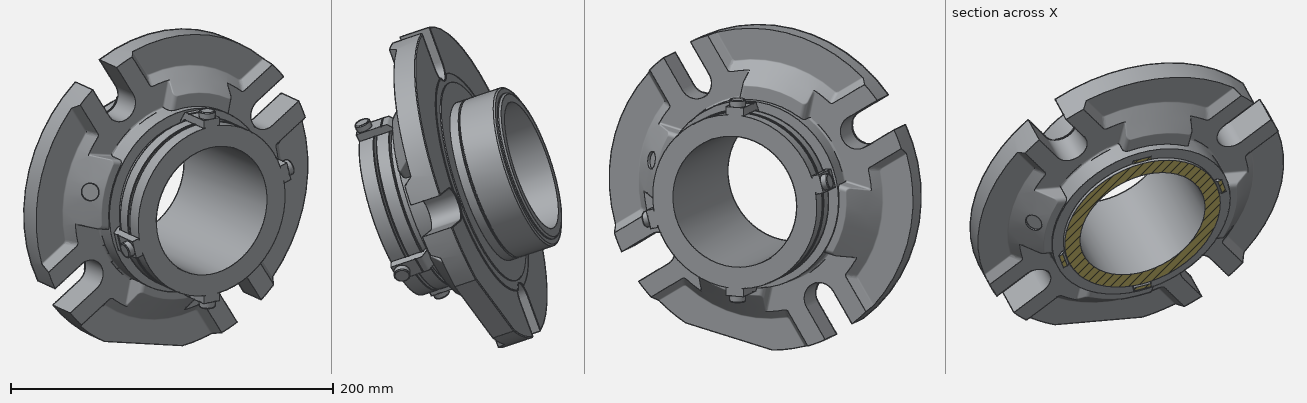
import cadquery as cq
import math


length = 92.6
nose_end = 2.0
sleeve_groove_start = 25.5
sleeve_groove_end = 26.8
seat_face = 32.5
ring_face = 33.2
flange_face = 33.8
flange_back = 48.5
pad_back = 54.0
hub_end = 66.9
collar_start = 72.1
collar_groove_start = 81.0
collar_groove_end = 82.7

bore_diameter = 82.5
nose_diameter = 95.3
sleeve_diameter = 103.4
groove_diameter = 100.1
seat_diameter = 129.5
ring_diameter = 141.9
flange_diameter = 202.7
hub_diameter = 118.0
collar_diameter = 109.5

nose_chamfer = 1.2
sleeve_chamfer = 1.0
ring_chamfer = 0.5
collar_chamfer = 0.5
flange_chamfer = 0.6

quarter_turn = 90.0
first_slot_angle = 32.3
slot_angles = [first_slot_angle + index * quarter_turn for index in range(4)]
slot_width = 21.0
slot_center_radius = 77.6
slot_chamfer = 0.5
pad_base_width = 54.0
pad_top_width = 45.8
pocket_corner_radius = 3.0
pocket_floor_radius = 1.2
pocket_edge_limit = 95.3
tolerance = 0.02

lobe_angles = [angle + quarter_turn / 2 for angle in slot_angles]
short_lobe_angle = lobe_angles[0]
lobe_base_radius = 81.5
lobe_width = 44.5
lobe_end = 65.9
short_lobe_end = 62.5
lobe_corner_radius = 3.0
lobe_edge_radius = 0.8
hub_root_radius = 1.2
hub_root_limit = 73.0
port_diameter = 11.0
port_x = 59.5
port_depth = 1.6
port_angle = lobe_angles[1]

flat_angle = lobe_angles[2]
flat_distance = 96.9

clip_angles = (15.0, 90.0, 195.0, 270.0)
clip_width = 11.8
clip_inner_radius = 54.5
clip_outer_radius = 59.5
clip_bend = 71.7
clip_inner_bend = 70.7
clip_toe_outer_radius = 53.0
clip_toe_inner_radius = 51.0
clip_bend_radius = 1.8
clip_score_x = 76.0
clip_score_width = 0.6
clip_score_depth = 0.5
screw_diameter = 10.0
screw_top_radius = 63.8
screw_chamfer = 0.6
screw_x = length - screw_diameter / 2


def turn(points):
    """Revolve an (x, radius) outline about the X axis."""
    return cq.Workplane("XY").polyline(points).close().revolve(360, (0, 0, 0), (1, 0, 0))


def disc(start, end, diameter):
    """Solid cylinder on the X axis between two stations."""
    return cq.Workplane("YZ").workplane(offset=start).circle(diameter / 2).extrude(end - start)


def about_x(shape, angle):
    """Move a shape modelled along +Y to its angle about the X axis."""
    return shape.rotate((0, 0, 0), (1, 0, 0), angle)


def make_sleeve():
    nose = disc(0, nose_end, nose_diameter).faces("<X").chamfer(nose_chamfer)
    land = disc(nose_end, sleeve_groove_start, sleeve_diameter).faces("<X").chamfer(sleeve_chamfer)
    groove = disc(sleeve_groove_start, sleeve_groove_end, groove_diameter)
    root = disc(sleeve_groove_end, seat_face, sleeve_diameter)
    return nose.union(land).union(groove).union(root)


def make_collar():
    neck = disc(hub_end, collar_start, sleeve_diameter)
    front = disc(collar_start, collar_groove_start, collar_diameter).edges().chamfer(collar_chamfer)
    groove = disc(collar_groove_start, collar_groove_end, groove_diameter)
    rear = disc(collar_groove_end, length, collar_diameter).faces("<X").chamfer(collar_chamfer)
    return neck.union(front).union(groove).union(rear)


def lobe_radius(x):
    """Radius of the 45 degree cone that carries the outer faces of the lobes."""
    return lobe_base_radius - (x - flange_back)


def make_cone(end):
    return turn([(flange_back, 0), (flange_back, lobe_base_radius), (end, lobe_radius(end)), (end, 0)])


def make_lobe(angle, end):
    """Lobe standing on the pad level, its outer face continuing the flange cone."""
    block = (
        cq.Workplane("YZ")
        .workplane(offset=pad_back)
        .center(lobe_base_radius / 2, 0)
        .rect(lobe_base_radius, lobe_width)
        .extrude(end - pad_back)
        .faces(">X")
        .edges("|Y")
        .fillet(lobe_corner_radius)
    )
    lobe = block.intersect(make_cone(end))
    sloping_edges = lobe.faces("%CONE").edges("not(%CIRCLE)")
    return about_x(sloping_edges.fillet(lobe_edge_radius), angle)


def make_pad(angle):
    """Thick pad with sloping sides, running out to the flange rim."""
    section = [
        (flange_back, -pad_base_width / 2),
        (pad_back, -pad_top_width / 2),
        (pad_back, pad_top_width / 2),
        (flange_back, pad_base_width / 2),
    ]
    bar = cq.Workplane("XZ").polyline(section).close().extrude(-flange_diameter / 2)
    rim = disc(flange_back, pad_back, flange_diameter)
    return about_x(bar.intersect(rim), angle)


def make_slot(angle):
    """Open-ended bolt slot with a round bottom and a chamfered front edge."""

    def slot_outline(width, x):
        reach = flange_diameter / 2 + slot_chamfer
        return (
            cq.Workplane("YZ")
            .workplane(offset=x)
            .moveTo(reach, -width / 2)
            .lineTo(slot_center_radius, -width / 2)
            .threePointArc((slot_center_radius - width / 2, 0), (slot_center_radius, width / 2))
            .lineTo(reach, width / 2)
            .close()
        )

    cutter = slot_outline(slot_width, ring_face).extrude(hub_end - ring_face)
    mouth_width = slot_width + 2 * slot_chamfer
    bevel = slot_outline(mouth_width, flange_face).extrude(slot_chamfer, taper=45)
    return about_x(cutter.union(bevel), angle)


def make_flange():
    seat = disc(seat_face, ring_face, seat_diameter)
    ring = disc(ring_face, flange_face, ring_diameter).faces("<X").chamfer(ring_chamfer)
    plate = disc(flange_face, flange_back, flange_diameter).cut(make_rim_flat())
    plate = plate.faces("<X").chamfer(flange_chamfer)
    return seat.union(ring).union(plate)


def make_rim_flat():
    reach = flange_diameter
    block = cq.Workplane("XY").box(reach, reach, reach).translate((0, flat_distance + reach / 2, 0))
    return about_x(block, flat_angle)


def make_port():
    """Shallow blind hole sunk square to the sloping face of a lobe."""
    outward = cq.Vector(1, 1, 0).normalized()
    mouth = cq.Vector(port_x, lobe_radius(port_x), 0)
    start = mouth + outward * port_depth
    drill = cq.Solid.makeCylinder(port_diameter / 2, 2 * port_depth, start, outward * -1)
    return about_x(cq.Workplane(obj=drill), port_angle)


def make_clip(angle):
    """Bent strip hooked against the hub, held by one screw."""
    profile = [
        (hub_end, clip_toe_inner_radius),
        (hub_end, clip_toe_outer_radius),
        (clip_bend, clip_outer_radius),
        (length, clip_outer_radius),
        (length, clip_inner_radius),
        (clip_inner_bend, clip_inner_radius),
    ]
    strip = cq.Workplane("XY").polyline(profile).close().extrude(clip_width / 2, both=True)
    outer_bend = cq.selectors.NearestToPointSelector((clip_bend, clip_outer_radius, 0))
    strip = strip.edges("|Z").edges(outer_bend).fillet(clip_bend_radius)
    score = cq.Workplane("XY").box(clip_score_width, 2 * clip_score_depth, clip_width)
    strip = strip.cut(score.translate((clip_score_x, clip_outer_radius, 0)))
    screw = (
        cq.Workplane("XZ", origin=(screw_x, clip_inner_radius, 0))
        .circle(screw_diameter / 2)
        .extrude(clip_inner_radius - screw_top_radius)
        .faces(">Y")
        .chamfer(screw_chamfer)
    )
    return about_x(strip.union(screw), angle)


def round_inner_edges(body, x, limit, radius):
    """Fillet the edges that lie on the plane at x and are centred closer to the axis than limit."""

    def is_inner_edge(edge):
        center = edge.Center()
        points = (edge.startPoint(), center, edge.endPoint())
        on_plane = all(abs(point.x - x) < tolerance for point in points)
        return on_plane and math.hypot(center.y, center.z) < limit

    edges = [edge for edge in body.edges().vals() if is_inner_edge(edge)]
    return body.newObject(edges).fillet(radius)


def make_pocketed_flange():
    """Flange, pads and cone, with the pockets between the pads rounded inside."""
    body = make_flange().union(make_cone(pad_back))
    for angle in slot_angles:
        body = body.union(make_pad(angle))
    body = body.edges("%HYPERBOLA").fillet(pocket_corner_radius)
    return round_inner_edges(body, flange_back, pocket_edge_limit, pocket_floor_radius)


def make_gland():
    """Flange with its hub, lobes, bolt slots and port."""
    body = make_pocketed_flange().union(disc(pad_back, hub_end, hub_diameter))
    for angle in lobe_angles:
        end = short_lobe_end if angle == short_lobe_angle else lobe_end
        body = body.union(make_lobe(angle, end))
    body = round_inner_edges(body, pad_back, hub_root_limit, hub_root_radius)
    for angle in slot_angles:
        body = body.cut(make_slot(angle))
    return body.cut(make_port())


result = make_gland().union(make_sleeve()).union(make_collar())
for clip_angle in clip_angles:
    result = result.union(make_clip(clip_angle))
result = result.cut(disc(0, length, bore_diameter))